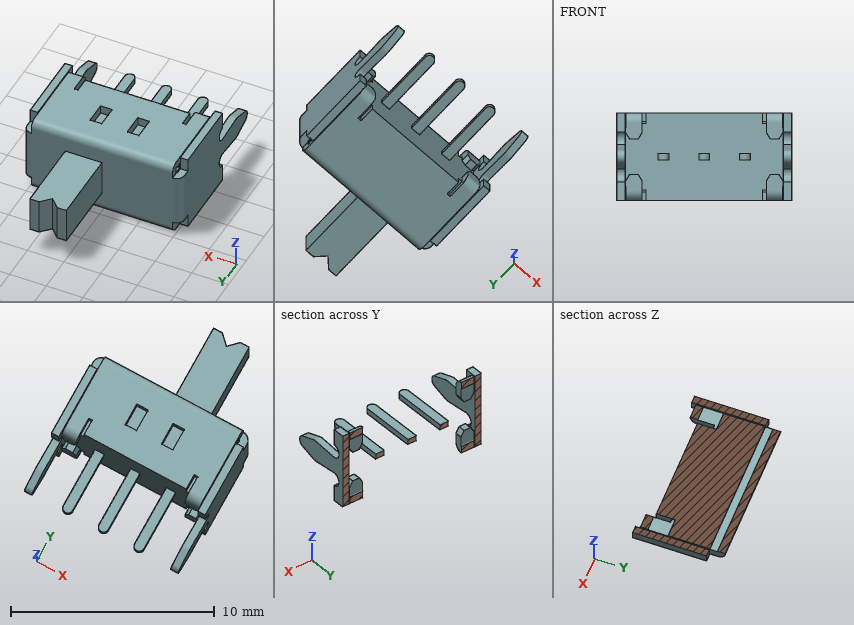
import cadquery as cq
import math


width = 8.6
height = 4.3
length = 11.47
body_depth = 4.0
leg_reach = 3.48
knob_end = length - leg_reach

sheet = 0.41
bend_gap = 0.03
side_bend_radius = sheet + bend_gap
cover_half_width = width / 2 - side_bend_radius
plate_inner_x = width / 2 - sheet
half_height = height / 2
inner_half_height = half_height - sheet
inner_back = body_depth - sheet

plate_back = 3.2
bend_half_height = 1.43
plate_front = -0.7
notch_radius = 0.38
notch_z = 0.85

root_z = notch_z - notch_radius
barb_y = -2.26
barb_z = 0.62
barb_radius = 0.76
shoulder_y = -3.28
shoulder_z = 0.3

tab_inner_x = 3.05
tab_outer_radius = 0.46
tab_clearance = tab_outer_radius - sheet
tab_reach = 1.28
tab_taper = 0.32
tab_tip_half_width = 0.21
slit_width = 0.2
slit_length = 0.83
recess_depth = 1.0
recess_drop = 0.1

window_width = 0.63
window_length = 1.18
window_depth = 0.46
window_spacing = 2.03
window_y = body_depth / 2

step_half_height = 1.5

knob_width = 2.0
knob_height = 1.96
knob_x = knob_width / 2
groove_width = 1.0
groove_depth = groove_width / 2

pin_count = 3
pin_pitch = 2.0
pin_width = 0.53
pin_height = 0.32
pin_length = leg_reach


def box(x_range, y_range, z_range):
    """Axis-aligned box between the given limits."""
    (x0, x1), (y0, y1), (z0, z1) = x_range, y_range, z_range
    return cq.Workplane("XY").box(x1 - x0, y1 - y0, z1 - z0, centered=False).translate((x0, y0, z0))


def mirrored(shape, plane):
    """Shape joined with its mirror image."""
    return shape.union(shape.mirror(plane))


def make_cover():
    """C-shaped channel: upper wall, rounded back wall and lower wall."""
    outer = (
        box((-cover_half_width, cover_half_width), (0, body_depth), (-half_height, half_height))
        .edges("|X and >Y")
        .fillet(sheet)
    )
    inner = box(
        (-cover_half_width, cover_half_width), (0, inner_back), (-inner_half_height, inner_half_height)
    )
    return outer.cut(inner)


def make_housing():
    """Block filling the channel, stepped in at its back end."""
    x_range = (-cover_half_width, cover_half_width)
    main = box(x_range, (0, plate_back), (-inner_half_height, inner_half_height))
    step = box(x_range, (plate_back, inner_back), (-step_half_height, step_half_height))
    return main.union(step)


def make_slits():
    """Cutters for the slits beside the tabs and the shallow recesses under the tabs."""
    slit = box(
        (tab_inner_x - slit_width, tab_inner_x), (0, slit_length), (inner_half_height, half_height)
    )
    recess = box(
        (tab_inner_x - slit_width, cover_half_width),
        (0, recess_depth),
        (inner_half_height - recess_drop, inner_half_height),
    )
    return mirrored(mirrored(slit.union(recess), "YZ"), "XY")


def make_windows():
    """Cutters for the two windows through the upper wall and a little way into the housing."""
    return (
        cq.Workplane("XY", origin=(0, window_y, half_height - window_depth))
        .rarray(window_spacing, 0.11, 2, 1)
        .rect(window_width, window_length)
        .extrude(window_depth)
    )


def make_tabs():
    """Four tabs bent from the cover walls over the housing front."""
    bend_z = half_height - tab_outer_radius
    tip_z_level = half_height - tab_reach
    diagonal = math.sqrt(0.5)
    strip = (
        cq.Workplane("YZ", origin=(tab_inner_x, 0, 0))
        .moveTo(0, half_height)
        .threePointArc(
            (-tab_outer_radius * diagonal, bend_z + tab_outer_radius * diagonal),
            (-tab_outer_radius, bend_z),
        )
        .lineTo(-tab_outer_radius, tip_z_level)
        .lineTo(-tab_clearance, tip_z_level)
        .lineTo(-tab_clearance, bend_z)
        .threePointArc(
            (-tab_clearance * diagonal, bend_z + tab_clearance * diagonal),
            (0, inner_half_height),
        )
        .close()
        .extrude(cover_half_width - tab_inner_x)
    )
    middle_x = (tab_inner_x + cover_half_width) / 2
    tapered_outline = (
        cq.Workplane("XZ")
        .polyline([
            (tab_inner_x, half_height),
            (tab_inner_x, tip_z_level + tab_taper),
            (middle_x - tab_tip_half_width, tip_z_level),
            (middle_x + tab_tip_half_width, tip_z_level),
            (cover_half_width, tip_z_level + tab_taper),
            (cover_half_width, half_height),
        ])
        .close()
        .extrude(tab_outer_radius)
    )
    return mirrored(mirrored(strip.intersect(tapered_outline), "YZ"), "XY")


def make_leg():
    """Barbed leg with a round tip, in the thickness of the +X side plate."""
    leg = (
        cq.Workplane("YZ", origin=(plate_inner_x, 0, 0))
        .moveTo(plate_front, root_z)
        .lineTo(barb_y, barb_z)
        .lineTo(shoulder_y, shoulder_z)
        .threePointArc((-leg_reach, 0), (shoulder_y, -shoulder_z))
        .lineTo(barb_y, -barb_z)
        .lineTo(plate_front, -root_z)
        .close()
        .extrude(sheet)
    )
    for side in (-1, 1):
        barb_point = (plate_inner_x + sheet / 2, barb_y, side * barb_z)
        leg = leg.edges(cq.selectors.NearestToPointSelector(barb_point)).fillet(barb_radius)
    return leg


def make_side_plates():
    """Side plates with board legs, each joined to the back wall by a bend."""
    plate = box((plate_inner_x, width / 2), (plate_front, plate_back), (-half_height, half_height))
    notches = (
        cq.Workplane("YZ", origin=(plate_inner_x, 0, 0))
        .pushPoints([(plate_front, -notch_z), (plate_front, notch_z)])
        .circle(notch_radius)
        .extrude(sheet)
    )
    plate = plate.cut(notches).union(make_leg())

    bend_y = body_depth - side_bend_radius
    bend_limits = box(
        (cover_half_width, width / 2), (bend_y, body_depth), (-bend_half_height, bend_half_height)
    )
    ring = (
        cq.Workplane("XY", origin=(cover_half_width, bend_y, -bend_half_height))
        .circle(side_bend_radius)
        .circle(bend_gap)
        .extrude(2 * bend_half_height)
    )
    bridge = box(
        (plate_inner_x, width / 2), (plate_back, bend_y), (-bend_half_height, bend_half_height)
    )
    return mirrored(plate.union(ring.intersect(bend_limits)).union(bridge), "YZ")


def make_knob():
    """Sliding knob with a V groove across its end."""
    return (
        cq.Workplane("XY", origin=(knob_x, 0, -knob_height / 2))
        .polyline([
            (-knob_width / 2, inner_back),
            (-knob_width / 2, knob_end),
            (-groove_width / 2, knob_end),
            (0, knob_end - groove_depth),
            (groove_width / 2, knob_end),
            (knob_width / 2, knob_end),
            (knob_width / 2, inner_back),
        ])
        .close()
        .extrude(knob_height)
    )


def make_pin(x):
    """Flat pin with a round tip, centred on the given X."""
    tip_radius = pin_width / 2
    tip_start = tip_radius - pin_length
    return (
        cq.Workplane("XY", origin=(x, 0, -pin_height / 2))
        .moveTo(-tip_radius, 0)
        .lineTo(-tip_radius, tip_start)
        .threePointArc((0, -pin_length), (tip_radius, tip_start))
        .lineTo(tip_radius, 0)
        .close()
        .extrude(pin_height)
    )


body = make_cover().union(make_housing()).cut(make_slits()).cut(make_windows())
body = body.union(make_tabs()).union(make_side_plates()).union(make_knob())
for index in range(pin_count):
    body = body.union(make_pin((index - (pin_count - 1) / 2) * pin_pitch))

result = body